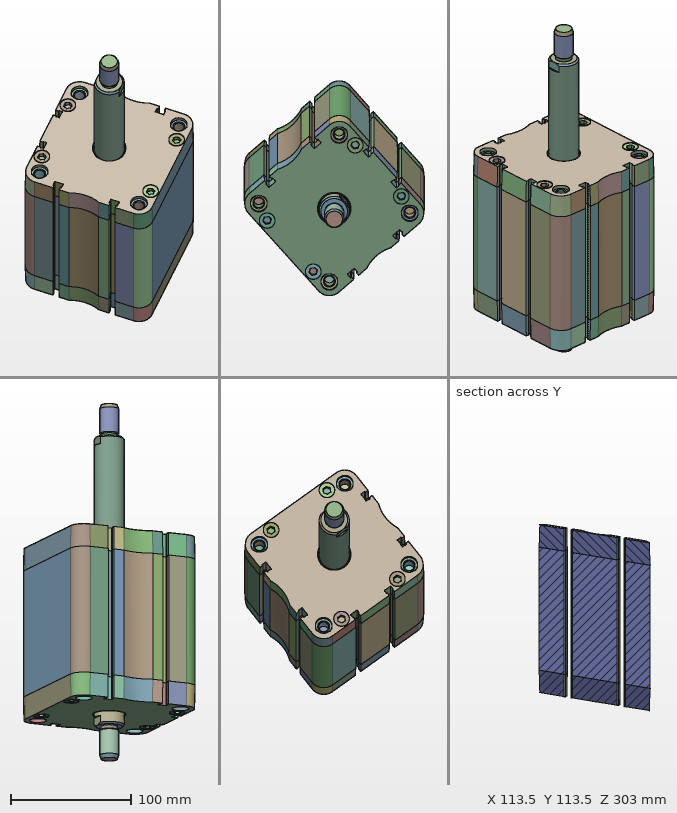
import cadquery as cq
import math


WIDTH = 113.5
HOUSING_LENGTH = 146.7
CAP_HEIGHT = 19.5
CAP_DRAFT = 1.5
CORNER_RADIUS = 12.5
HALF_WIDTH = WIDTH / 2
BARREL_LENGTH = HOUSING_LENGTH - 2 * CAP_HEIGHT
MID_HEIGHT = HOUSING_LENGTH / 2

HOLLOW_WIDTH = 26.5
HOLLOW_DEPTH = 2.7

SLOT_NECK_DEPTH = 3.3
SLOT_NECK_WIDTH = 5.5
Y_SIDE_SLOT_WIDTH = 7.5
Y_SIDE_SLOT_DEPTH = 7.3
Y_SIDE_SLOT_OFFSET = 25.0
X_SIDE_SLOT_WIDTH = 6.7
X_SIDE_SLOT_DEPTH = 6.5
X_SIDE_SLOT_OFFSET = 17.5

ROD_LENGTH = 303.0
ROD_PROJECTION = 38.2
ROD_DIAMETER = 25.0
ROD_EDGE_CHAMFER = 1.5
STUD_DIAMETER = 16.0
STUD_NECK_DIAMETER = 14.0
STUD_TIP_DIAMETER = 13.5
STUD_LENGTH = 28.0
STUD_TIP_LENGTH = 3.3
STUD_NECK_LENGTH = 2.7
STUD_NECK_TAPER_LENGTH = 1.0
FLATS_WIDTH = 22.0
FLATS_LENGTH = 7.3

ROD_RECESS_DIAMETER = 27.0
ROD_RECESS_RIM_DIAMETER = 28.0
ROD_RECESS_DEPTH = 1.8

MOUNT_SPACING = 89.0
MOUNT_RECESS_DIAMETER = 14.0
MOUNT_RECESS_DEPTH = 3.0
MOUNT_RIM_DIAMETER = 10.0
MOUNT_HOLE_DIAMETER = 8.5
MOUNT_HOLE_DEPTH = 12.0

HEAD_SPACING_X = 97.5
HEAD_SPACING_Y = 58.2
HEAD_DIAMETER = 13.0
HEAD_SINK = 0.5
SOCKET_WIDTH = 6.0
SOCKET_DEPTH = 3.5


def t_slot(slot_width, slot_depth):
    """T-slot cutter open toward +Y, in a side at y = HALF_WIDTH."""
    neck = cq.Workplane("XY").rect(SLOT_NECK_WIDTH, 2 * SLOT_NECK_DEPTH).extrude(HOUSING_LENGTH)
    foot_height = slot_depth - SLOT_NECK_DEPTH
    foot = (
        cq.Workplane("XY")
        .center(0, -SLOT_NECK_DEPTH - foot_height / 2)
        .rect(slot_width, foot_height)
        .extrude(HOUSING_LENGTH)
    )
    return neck.union(foot).translate((0, HALF_WIDTH, 0))


def cut_slots(body):
    y_side_slot = t_slot(Y_SIDE_SLOT_WIDTH, Y_SIDE_SLOT_DEPTH)
    x_side_slot = t_slot(X_SIDE_SLOT_WIDTH, X_SIDE_SLOT_DEPTH)
    axis_start, axis_end = (0, 0, 0), (0, 0, 1)
    for sign in (-1, 1):
        slot = y_side_slot.translate((sign * Y_SIDE_SLOT_OFFSET, 0, 0))
        body = body.cut(slot).cut(slot.rotate(axis_start, axis_end, 180))
        slot = x_side_slot.translate((sign * X_SIDE_SLOT_OFFSET, 0, 0))
        body = body.cut(slot.rotate(axis_start, axis_end, 90))
    return body


def outline(base_height):
    """Rounded square with a hollow in each Y side, closed and ready to extrude."""
    flat_end = HALF_WIDTH - CORNER_RADIUS
    corner_middle = flat_end + CORNER_RADIUS * math.sqrt(0.5)
    hollow_end = HOLLOW_WIDTH / 2
    hollow_bottom = HALF_WIDTH - HOLLOW_DEPTH
    return (
        cq.Workplane("XY", origin=(0, 0, base_height))
        .moveTo(HALF_WIDTH, -flat_end)
        .lineTo(HALF_WIDTH, flat_end)
        .threePointArc((corner_middle, corner_middle), (flat_end, HALF_WIDTH))
        .lineTo(hollow_end, HALF_WIDTH)
        .threePointArc((0, hollow_bottom), (-hollow_end, HALF_WIDTH))
        .lineTo(-flat_end, HALF_WIDTH)
        .threePointArc((-corner_middle, corner_middle), (-HALF_WIDTH, flat_end))
        .lineTo(-HALF_WIDTH, -flat_end)
        .threePointArc((-corner_middle, -corner_middle), (-flat_end, -HALF_WIDTH))
        .lineTo(-hollow_end, -HALF_WIDTH)
        .threePointArc((0, -hollow_bottom), (hollow_end, -HALF_WIDTH))
        .lineTo(flat_end, -HALF_WIDTH)
        .threePointArc((corner_middle, -corner_middle), (HALF_WIDTH, -flat_end))
        .close()
    )


def cut_rod_passage(body):
    passage = cq.Workplane("XY").circle(ROD_DIAMETER / 2).extrude(HOUSING_LENGTH)
    return body.cut(passage)


def make_barrel():
    barrel = outline(CAP_HEIGHT).extrude(BARREL_LENGTH)
    return cut_rod_passage(cut_slots(barrel))


def countersink(rim_diameter, hole_diameter, depth, rim_height):
    """Hole with a 45-degree chamfer that widens it to the rim diameter at its mouth."""
    hole = cq.Workplane("XY", origin=(0, 0, rim_height)).circle(hole_diameter / 2).extrude(-depth)
    rim_radius = rim_diameter / 2
    chamfer = cq.Solid.makeCone(
        rim_radius,
        hole_diameter / 2,
        rim_radius - hole_diameter / 2,
        pnt=cq.Vector(0, 0, rim_height),
        dir=cq.Vector(0, 0, -1),
    )
    return hole.union(cq.Workplane(chamfer))


def corner_places(spacing_x, spacing_y):
    return [(sx * spacing_x / 2, sy * spacing_y / 2, 0) for sx in (-1, 1) for sy in (-1, 1)]


def mounting_hole():
    recess = (
        cq.Workplane("XY", origin=(0, 0, HOUSING_LENGTH))
        .circle(MOUNT_RECESS_DIAMETER / 2)
        .extrude(-MOUNT_RECESS_DEPTH)
    )
    recess_floor = HOUSING_LENGTH - MOUNT_RECESS_DEPTH
    hole = countersink(MOUNT_RIM_DIAMETER, MOUNT_HOLE_DIAMETER, MOUNT_HOLE_DEPTH, recess_floor)
    return recess.union(hole)


def screw_head():
    sink = (
        cq.Workplane("XY", origin=(0, 0, HOUSING_LENGTH))
        .circle(HEAD_DIAMETER / 2)
        .extrude(-HEAD_SINK)
    )
    socket = (
        cq.Workplane("XY", origin=(0, 0, HOUSING_LENGTH - HEAD_SINK))
        .polygon(6, SOCKET_WIDTH, circumscribed=True)
        .extrude(-SOCKET_DEPTH)
    )
    return sink.union(socket)


def make_upper_cap():
    cap = outline(HOUSING_LENGTH - CAP_HEIGHT).extrude(CAP_HEIGHT, taper=CAP_DRAFT)
    cap = cut_rod_passage(cut_slots(cap))
    cap = cap.cut(
        countersink(ROD_RECESS_RIM_DIAMETER, ROD_RECESS_DIAMETER, ROD_RECESS_DEPTH, HOUSING_LENGTH)
    )
    for place in corner_places(MOUNT_SPACING, MOUNT_SPACING):
        cap = cap.cut(mounting_hole().translate(place))
    for place in corner_places(HEAD_SPACING_X, HEAD_SPACING_Y):
        cap = cap.cut(screw_head().translate(place))
    return cap


def make_rod():
    """Upper half turned about Z, with its flats, joined to its mirror image."""
    middle = ROD_LENGTH / 2 - ROD_PROJECTION
    end = middle + ROD_LENGTH / 2
    shoulder = end - STUD_LENGTH
    neck_end = shoulder + STUD_NECK_LENGTH
    rod_radius = ROD_DIAMETER / 2
    stud_radius = STUD_DIAMETER / 2
    neck_radius = STUD_NECK_DIAMETER / 2
    half = (
        cq.Workplane("XZ")
        .moveTo(0, middle)
        .lineTo(rod_radius, middle)
        .lineTo(rod_radius, shoulder - ROD_EDGE_CHAMFER)
        .lineTo(rod_radius - ROD_EDGE_CHAMFER, shoulder)
        .lineTo(neck_radius, shoulder)
        .lineTo(neck_radius, neck_end)
        .lineTo(stud_radius, neck_end + STUD_NECK_TAPER_LENGTH)
        .lineTo(stud_radius, end - STUD_TIP_LENGTH)
        .lineTo(STUD_TIP_DIAMETER / 2, end)
        .lineTo(0, end)
        .close()
        .revolve(360, (0, 0, 0), (0, 1, 0))
    )
    flats_cutter = (
        cq.Workplane("XY", origin=(0, 0, shoulder))
        .rect(2 * ROD_DIAMETER, 2 * ROD_DIAMETER)
        .rect(FLATS_WIDTH, 2 * ROD_DIAMETER)
        .extrude(-FLATS_LENGTH)
    )
    half = half.cut(flats_cutter)
    return half.union(half.mirror("XY", (0, 0, middle)))


barrel = make_barrel()
upper_cap = make_upper_cap()
lower_cap = upper_cap.mirror("XY", (0, 0, MID_HEIGHT))
rod = make_rod()

result = cq.Compound.makeCompound([barrel.val(), upper_cap.val(), lower_cap.val(), rod.val()])